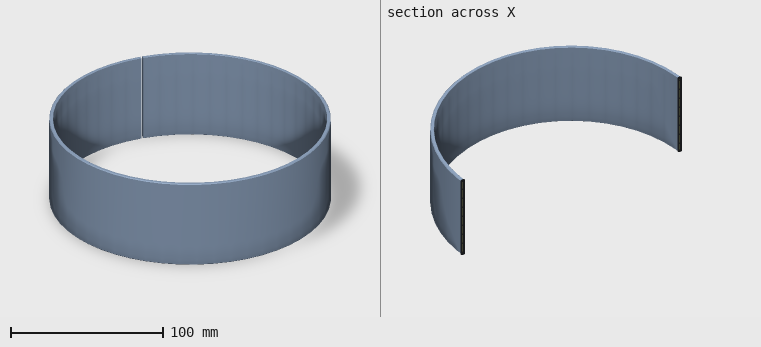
import cadquery as cq

outer_diameter = 185.0
wall_thickness = 2.5
height = 60.0
outer_chamfer = 0.5
inner_chamfer = 0.2
sweep_angle = 359.0

outer_radius = outer_diameter / 2
inner_radius = outer_radius - wall_thickness


def wall_section():
    """Wall cross-section in the XZ plane on the -X side, with all four corners chamfered."""
    return (
        cq.Workplane("XZ")
        .moveTo(-(inner_radius + inner_chamfer), 0)
        .lineTo(-(outer_radius - outer_chamfer), 0)
        .lineTo(-outer_radius, outer_chamfer)
        .lineTo(-outer_radius, height - outer_chamfer)
        .lineTo(-(outer_radius - outer_chamfer), height)
        .lineTo(-(inner_radius + inner_chamfer), height)
        .lineTo(-inner_radius, height - inner_chamfer)
        .lineTo(-inner_radius, inner_chamfer)
        .close()
    )


def make_split_ring():
    """Sweep the wall section counterclockwise about Z, leaving a radial split just above y = 0."""
    axis_start = (0, 0)
    axis_end = (0, 1)
    return wall_section().revolve(sweep_angle, axis_start, axis_end)


result = make_split_ring()